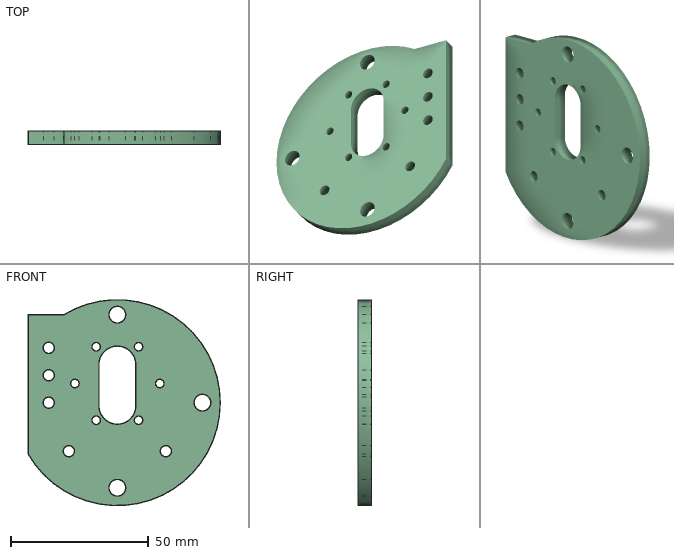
import cadquery as cq
import math

disc_radius = 37.5
thickness = 5.0
flat_x = -disc_radius * math.cos(math.radians(30))
flat_bottom_z = -disc_radius * math.sin(math.radians(30))
corner_z = 32.0
corner_end_x = -math.sqrt(disc_radius**2 - corner_z**2)

mount_diameter = 6.0
mount_radius = 31.0
mount_top_z = 32.0

medium_diameter = 4.0
column_x = -25.0
column_pitch = 10.0
column_count = 3
diagonal_radius = 25.0

motor_hole_diameter = 3.0
motor_circle_radius = 15.45
motor_center_z = 7.0
motor_hole_count = 6

slot_width = 13.35
slot_length = 28.35
slot_center_z = 6.4


def polar_point(radius, angle_degrees, center_z=0.0):
    angle = math.radians(angle_degrees)
    return (radius * math.cos(angle), center_z + radius * math.sin(angle))


def make_plate():
    return (
        cq.Workplane("XZ")
        .moveTo(flat_x, flat_bottom_z)
        .lineTo(flat_x, corner_z)
        .lineTo(corner_end_x, corner_z)
        .threePointArc((disc_radius, 0), (flat_x, flat_bottom_z))
        .close()
        .extrude(thickness / 2, both=True)
    )


def make_holes(points, diameter):
    return (
        cq.Workplane("XZ")
        .pushPoints(points)
        .circle(diameter / 2)
        .extrude(thickness, both=True)
    )


def make_slot():
    return (
        cq.Workplane("XZ")
        .center(0, slot_center_z)
        .slot2D(slot_length, slot_width, 90)
        .extrude(thickness, both=True)
    )


mount_points = [(0, mount_top_z), (mount_radius, 0), (0, -mount_radius)]
column_points = [(column_x, i * column_pitch) for i in range(column_count)]
diagonal_points = [polar_point(diagonal_radius, angle) for angle in (-45, -135)]
motor_points = [
    polar_point(motor_circle_radius, i * 360 / motor_hole_count, motor_center_z)
    for i in range(motor_hole_count)
]

result = (
    make_plate()
    .cut(make_holes(mount_points, mount_diameter))
    .cut(make_holes(column_points + diagonal_points, medium_diameter))
    .cut(make_holes(motor_points, motor_hole_diameter))
    .cut(make_slot())
)